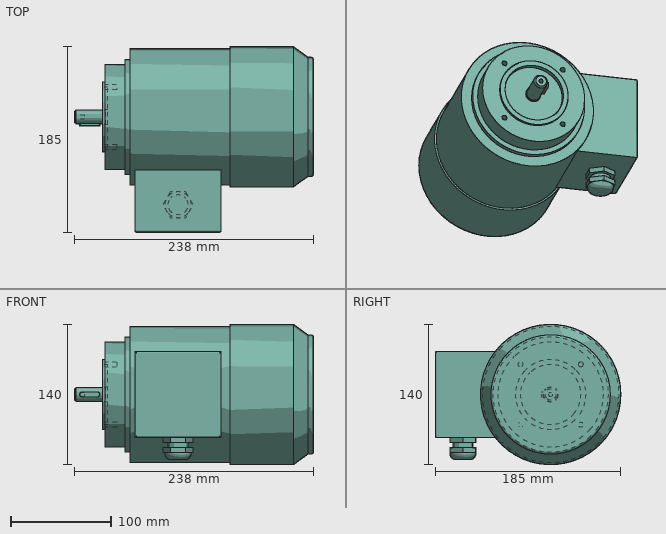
import cadquery as cq
import math


shaft_d = 14.0
shaft_length = 30.0
shaft_tip_d = 11.0
shaft_chamfer = (shaft_d - shaft_tip_d) / 2
collar_d = 15.0
collar_length = 2.0
center_hole_d = 4.13
center_hole_depth = 10.0
key_width = 5.0
key_height = 5.0
key_length = 20.0
key_top = 9.0
key_center_x = -15.0

spigot_d = 70.0
spigot_height = 2.5
recess_d = 60.0
recess_depth = 5.0
flange_d = 105.0
flange_length = 20.0
bolt_circle_d = 85.0
bolt_hole_d = 4.92
bolt_hole_depth = 12.0
bolt_count = 4
bolt_start_angle = 45

ring_d = 115.0
ring_length = 5.0
body_d = 136.0
body_length = 100.0
cowl_d = 140.0
cowl_length = 63.0
cone_length = 14.5
rear_d = 119.0
rear_end_x = 208.0
rear_fillet = 2.5

box_length = 86.0
box_height = 86.0
box_face_y = -115.0
box_start_x = 30.0
box_fillet = 2.0

gland_y = -87.5
hex_sides = 6
hex_across_flats = 26.0
gland_step = 5.0
neck_d = 20.0
dome_height = 7.0
dome_tip_d = 15.0

spigot_face_x = -spigot_height
recess_floor_x = spigot_face_x + recess_depth
body_start_x = flange_length + ring_length
cowl_start_x = body_start_x + body_length
cone_start_x = cowl_start_x + cowl_length
cone_end_x = cone_start_x + cone_length
box_center_x = box_start_x + box_length / 2


def cylinder_x(diameter, start_x, end_x):
    return cq.Workplane("YZ", origin=(start_x, 0, 0)).circle(diameter / 2).extrude(end_x - start_x)


def make_housing():
    housing = cylinder_x(spigot_d, spigot_face_x, flange_length)
    housing = housing.union(cylinder_x(flange_d, 0, flange_length))
    housing = housing.union(cylinder_x(ring_d, flange_length, body_start_x))
    housing = housing.union(cylinder_x(body_d, body_start_x, cowl_start_x))
    recess = cylinder_x(recess_d, spigot_face_x, recess_floor_x)
    return housing.union(make_cowl()).cut(recess)


def make_cowl():
    profile = (
        cq.Workplane("XY")
        .moveTo(cowl_start_x, 0)
        .lineTo(cowl_start_x, cowl_d / 2)
        .lineTo(cone_start_x, cowl_d / 2)
        .lineTo(cone_end_x, rear_d / 2)
        .lineTo(rear_end_x, rear_d / 2)
        .lineTo(rear_end_x, 0)
        .close()
    )
    cowl = profile.revolve(360, (0, 0, 0), (1, 0, 0))
    return cowl.faces(">X").edges().fillet(rear_fillet)


def make_bolt_holes():
    return (
        cq.Workplane("YZ")
        .polarArray(bolt_circle_d / 2, bolt_start_angle, 360, bolt_count)
        .circle(bolt_hole_d / 2)
        .extrude(bolt_hole_depth)
    )


def make_shaft():
    shaft = cylinder_x(shaft_d, -shaft_length, recess_floor_x).faces("<X").chamfer(shaft_chamfer)
    collar = cylinder_x(collar_d, recess_floor_x - collar_length, recess_floor_x)
    center_hole = cylinder_x(center_hole_d, -shaft_length, -shaft_length + center_hole_depth)
    return shaft.union(collar).union(make_key()).cut(center_hole)


def make_key():
    return (
        cq.Workplane("XZ", origin=(key_center_x, -key_top, 0))
        .slot2D(key_length, key_width)
        .extrude(-key_height)
    )


def make_terminal_box():
    box = cq.Workplane("XY").box(box_length, -box_face_y, box_height)
    box = box.translate((box_center_x, box_face_y / 2, 0))
    return box.faces("<Y").edges().fillet(box_fillet)


def make_gland():
    hex_corner_d = hex_across_flats / math.cos(math.pi / hex_sides)
    top = cq.Workplane("XY", origin=(box_center_x, gland_y, -box_height / 2))
    gland = top.polygon(hex_sides, hex_corner_d).extrude(-gland_step)
    gland = gland.union(top.circle(neck_d / 2).extrude(-2 * gland_step))
    nut = top.workplane(offset=-2 * gland_step).polygon(hex_sides, hex_corner_d).extrude(-gland_step)
    return gland.union(nut).union(make_gland_dome())


def make_gland_dome():
    rim_r = hex_across_flats / 2
    tip_r = dome_tip_d / 2
    bend = math.sqrt(0.5)
    arc_mid = (tip_r + (rim_r - tip_r) * bend, -dome_height * bend)
    dome_top_z = -box_height / 2 - 3 * gland_step
    return (
        cq.Workplane("XZ", origin=(box_center_x, gland_y, dome_top_z))
        .lineTo(rim_r, 0)
        .threePointArc(arc_mid, (tip_r, -dome_height))
        .lineTo(0, -dome_height)
        .close()
        .revolve(360, (0, 0, 0), (0, 1, 0))
    )


result = (
    make_housing()
    .cut(make_bolt_holes())
    .union(make_shaft())
    .union(make_terminal_box())
    .union(make_gland())
)